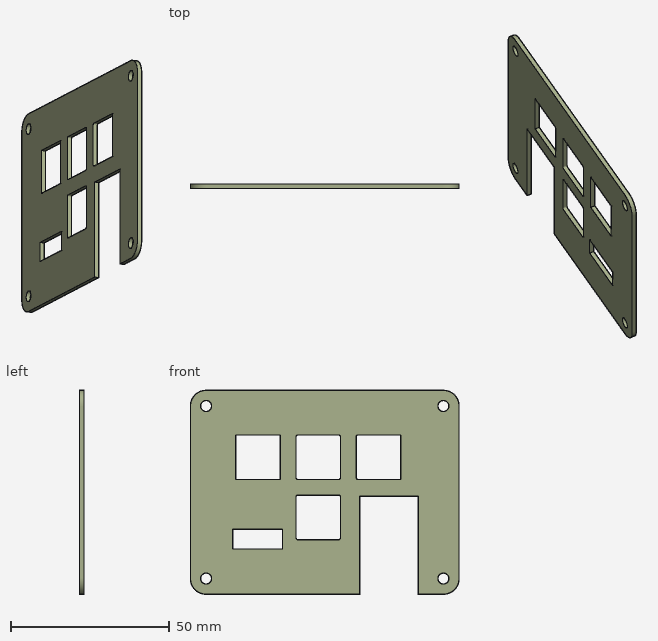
import cadquery as cq

PLATE_WIDTH = 85.08
PLATE_HEIGHT = 64.59
PLATE_THICKNESS = 1.5
CORNER_RADIUS = 5.0

SCREW_HOLE_DIAMETER = 3.4
SCREW_HOLE_INSET = CORNER_RADIUS

SWITCH_SIZE = 14.0
SWITCH_PITCH = 19.05
SWITCH_CORNER_RADIUS = 0.5
MIDDLE_SWITCH_X = -2.06
UPPER_ROW_Z = 11.1
LOWER_ROW_Z = UPPER_ROW_Z - SWITCH_PITCH

WINDOW_WIDTH = 15.7
WINDOW_HEIGHT = 6.2
WINDOW_X = -21.25
WINDOW_Z = -14.8

NOTCH_WIDTH = 18.45
NOTCH_DEPTH = 31.0
NOTCH_X = 20.3

CUT_MARGIN = 1.0


def block(width, height, center_x, center_z, thickness=PLATE_THICKNESS):
    """Box centred on the plate's mid-plane."""
    return cq.Workplane("XY").box(width, thickness, height).translate((center_x, 0, center_z))


def cutter(width, height, center_x, center_z):
    """Box that passes completely through the plate."""
    return block(width, height, center_x, center_z, PLATE_THICKNESS + 2 * CUT_MARGIN)


def make_plate():
    return block(PLATE_WIDTH, PLATE_HEIGHT, 0, 0).edges("|Y").fillet(CORNER_RADIUS)


def cut_screw_holes(body):
    spacing_x = PLATE_WIDTH - 2 * SCREW_HOLE_INSET
    spacing_z = PLATE_HEIGHT - 2 * SCREW_HOLE_INSET
    holes = (
        cq.Workplane("XZ")
        .rarray(spacing_x, spacing_z, 2, 2)
        .circle(SCREW_HOLE_DIAMETER / 2)
        .extrude(PLATE_THICKNESS / 2 + CUT_MARGIN, both=True)
    )
    return body.cut(holes)


def cut_switch(body, center_x, center_z, rounded_edges=None):
    """Cut one switch opening, rounding only the selected corner edges."""
    opening = cutter(SWITCH_SIZE, SWITCH_SIZE, center_x, center_z)
    if rounded_edges:
        opening = opening.edges(rounded_edges).fillet(SWITCH_CORNER_RADIUS)
    return body.cut(opening)


def cut_switches(body):
    body = cut_switch(body, MIDDLE_SWITCH_X - SWITCH_PITCH, UPPER_ROW_Z)
    body = cut_switch(body, MIDDLE_SWITCH_X, UPPER_ROW_Z, "|Y")
    body = cut_switch(body, MIDDLE_SWITCH_X + SWITCH_PITCH, UPPER_ROW_Z, "|Y and <X")
    return cut_switch(body, MIDDLE_SWITCH_X, LOWER_ROW_Z, "|Y")


def cut_window(body):
    return body.cut(cutter(WINDOW_WIDTH, WINDOW_HEIGHT, WINDOW_X, WINDOW_Z))


def cut_notch(body):
    height = NOTCH_DEPTH + CUT_MARGIN
    top_z = NOTCH_DEPTH - PLATE_HEIGHT / 2
    return body.cut(cutter(NOTCH_WIDTH, height, NOTCH_X, top_z - height / 2))


plate = make_plate()
plate = cut_screw_holes(plate)
plate = cut_switches(plate)
plate = cut_window(plate)
result = cut_notch(plate)